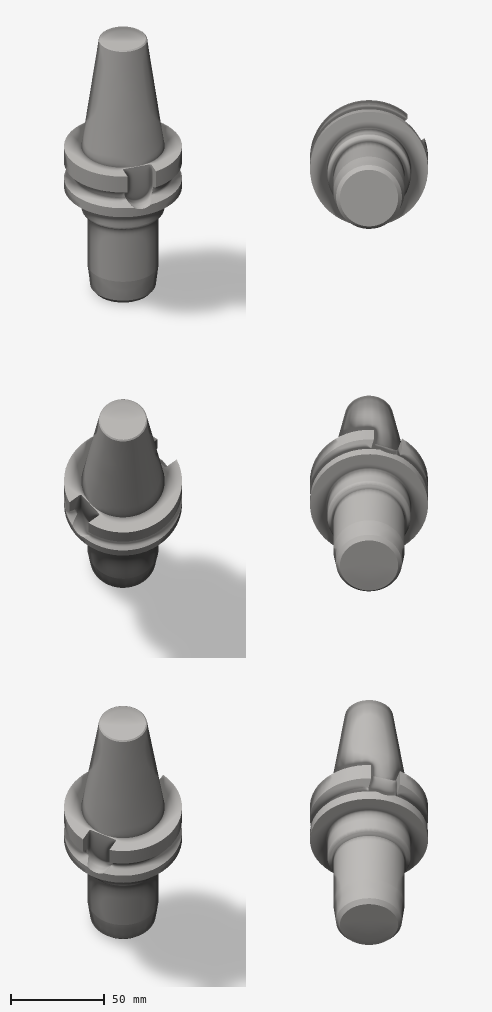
import cadquery as cq
import math

total_height = 155.4
taper_length = 67.1
flange_height = 25.3

shank_radius = 44.5 / 2
shank_top_radius = 25.6 / 2
shank_top_chamfer = 0.6

flange_radius = 63.0 / 2
groove_radius = 26.5
groove_wall_angle = 30.0
upper_rim_height = 10.0
lower_rim_height = 5.6
groove_corner_radius = 1.0

collar_radius = 44.5 / 2
collar_height = 15.4
collar_cone_height = 1.9
collar_corner_radius = 2.3
collar_root_radius = 0.8

body_radius = 38.0 / 2
nose_height = 15.0
nose_radius = 17.5
nose_chamfer_height = 2.5
nose_end_radius = 15.5

slot_width = 16.0
slot_floor_distance = 22.5
slot_center_depth = 13.2
slot_floor_fillet = 0.8

flange_top = total_height - taper_length
flange_bottom = flange_top - flange_height
collar_bottom = flange_bottom - collar_height


def circle_at(radius, height):
    """Selector for the circular edges at one height, no larger than one radius."""
    margin = 0.02
    return cq.selectors.BoxSelector(
        (-radius - margin, -radius - margin, height - margin),
        (radius + margin, radius + margin, height + margin),
        boundingbox=True,
    )


def revolve_profile(points):
    return cq.Workplane("XZ").polyline(points).close().revolve(360, (0, 0), (0, 1))


def make_turned_body():
    groove_wall_height = (flange_radius - groove_radius) * math.tan(math.radians(groove_wall_angle))
    groove_top = flange_top - upper_rim_height
    groove_bottom = flange_bottom + lower_rim_height
    body = revolve_profile([
        (0, 0),
        (nose_end_radius, 0),
        (nose_radius, nose_chamfer_height),
        (body_radius, nose_height),
        (body_radius, collar_bottom),
        (collar_radius, collar_bottom + collar_cone_height),
        (collar_radius, flange_bottom),
        (flange_radius, flange_bottom),
        (flange_radius, groove_bottom),
        (groove_radius, groove_bottom + groove_wall_height),
        (groove_radius, groove_top - groove_wall_height),
        (flange_radius, groove_top),
        (flange_radius, flange_top),
        (shank_radius, flange_top),
        (shank_top_radius, total_height),
        (0, total_height),
    ])
    collar_corner = circle_at(collar_radius, collar_bottom + collar_cone_height)
    body = body.edges(collar_corner).fillet(collar_corner_radius)
    body = body.edges(circle_at(collar_radius, flange_bottom)).fillet(collar_root_radius)
    for corner_height in (groove_bottom + groove_wall_height, groove_top - groove_wall_height):
        body = body.edges(circle_at(groove_radius, corner_height)).fillet(groove_corner_radius)
    return body.faces(">Z").edges().chamfer(shank_top_chamfer)


def make_slot_cutter():
    """Round-bottomed slot on the +X side, open at the top and outer side, with a filleted floor."""
    half_width = slot_width / 2
    center_height = flange_top - slot_center_depth
    clearance = 7.8
    cutter_top = flange_top + clearance
    cutter = (
        cq.Workplane("YZ", origin=(slot_floor_distance, 0, 0))
        .moveTo(-half_width, cutter_top)
        .lineTo(-half_width, center_height)
        .threePointArc((0, center_height - half_width), (half_width, center_height))
        .lineTo(half_width, cutter_top)
        .close()
        .extrude(flange_radius - slot_floor_distance + clearance)
    )
    return cutter.faces("<X").edges("not(>Z)").fillet(slot_floor_fillet)


result = make_turned_body()
slot_cutter = make_slot_cutter()
for side_angle in (0, 180):
    result = result.cut(slot_cutter.rotate((0, 0, 0), (0, 0, 1), side_angle))